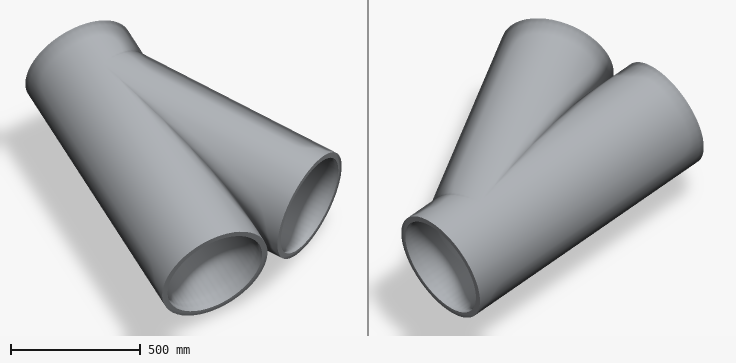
import cadquery as cq
import math

OUTER_DIAMETER = 457.2
INNER_DIAMETER = 409.6
BRANCH_ANGLE = 30.0
INLET_LENGTH = 203.2
OUTLET_LENGTH = 952.5

RUN_LENGTH = INLET_LENGTH + OUTLET_LENGTH

RUN_START = cq.Vector(-INLET_LENGTH, 0, 0)
RUN_DIRECTION = cq.Vector(1, 0, 0)
BRANCH_START = cq.Vector(0, 0, 0)
BRANCH_DIRECTION = cq.Vector(
    math.cos(math.radians(BRANCH_ANGLE)),
    math.sin(math.radians(BRANCH_ANGLE)),
    0,
)


def run_cylinder(diameter):
    """Cylinder along the full length of the straight run."""
    return cq.Workplane(cq.Solid.makeCylinder(diameter / 2, RUN_LENGTH, RUN_START, RUN_DIRECTION))


def branch_cylinder(diameter):
    """Cylinder from the axis crossing to the open end of the branch."""
    return cq.Workplane(
        cq.Solid.makeCylinder(diameter / 2, OUTLET_LENGTH, BRANCH_START, BRANCH_DIRECTION)
    )


def joined_pipes(diameter):
    """Run and branch cylinders of one diameter, fused together."""
    return run_cylinder(diameter).union(branch_cylinder(diameter))


result = joined_pipes(OUTER_DIAMETER).cut(joined_pipes(INNER_DIAMETER))